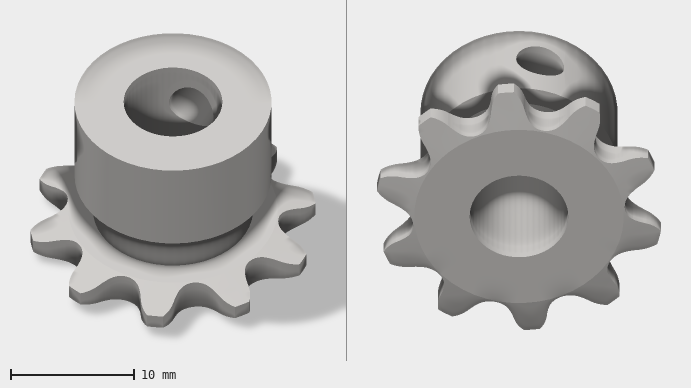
import cadquery as cq
import math

total_height = 15.0
hub_diameter = 16.0
hub_height = 8.25
neck_diameter = 13.0
bore_diameter = 8.0
set_screw_diameter = 4.0
set_screw_height = 11.0

tooth_count = 10
tip_radius = 11.68
plate_thickness = 2.8
bevel_start_radius = 8.5
rim_thickness = 1.25

pitch_radius = 10.27
seat_radius = 1.65
seat_end_slope = 23.0
working_radius = 4.35
flank_slope = 10.6
flank_length = 0.28
tip_half_width = 0.65
cutter_radius = 14.0

half_pitch = math.radians(180 / tooth_count)
bevel_height = (plate_thickness - rim_thickness) / 2


def polar(radius, angle):
    return (radius * math.cos(angle), radius * math.sin(angle))


def shifted(point, angle, distance):
    dx, dy = polar(distance, angle)
    return (point[0] + dx, point[1] + dy)


def make_blank():
    """Revolved plate, neck and hub, without teeth or holes."""
    hub_bottom = total_height - hub_height
    profile = [
        (0, 0),
        (bevel_start_radius, 0),
        (tip_radius, bevel_height),
        (tip_radius, plate_thickness - bevel_height),
        (bevel_start_radius, plate_thickness),
        (neck_diameter / 2, plate_thickness),
        (neck_diameter / 2, hub_bottom),
        (hub_diameter / 2, hub_bottom),
        (hub_diameter / 2, total_height),
        (0, total_height),
    ]
    return cq.Workplane("XZ").polyline(profile).close().revolve(360, (0, 0), (0, 1))


def make_half_gap():
    """Half of the gap beside a tooth that points along +X."""
    seat_center = polar(pitch_radius, half_pitch)
    start_angle = half_pitch + math.pi
    seat_end_angle = math.radians(270 - seat_end_slope)
    seat_middle_angle = (start_angle + seat_end_angle) / 2
    working_center = shifted(seat_center, seat_end_angle, seat_radius - working_radius)
    working_end_angle = math.radians(270 - flank_slope)
    working_end = shifted(working_center, working_end_angle, working_radius)
    flank_end = shifted(working_end, math.radians(-flank_slope), flank_length)
    tip_corner = (math.sqrt(tip_radius**2 - tip_half_width**2), tip_half_width)
    return (
        cq.Workplane("XY")
        .moveTo(*shifted(seat_center, start_angle, seat_radius))
        .threePointArc(
            shifted(seat_center, seat_middle_angle, seat_radius),
            shifted(seat_center, seat_end_angle, seat_radius),
        )
        .tangentArcPoint(working_end, relative=False)
        .lineTo(*flank_end)
        .tangentArcPoint(tip_corner, relative=False)
        .lineTo(cutter_radius, tip_half_width)
        .lineTo(*polar(cutter_radius, half_pitch))
        .close()
        .extrude(plate_thickness)
    )


def cut_teeth(body):
    half_gap = make_half_gap()
    for side in (half_gap, half_gap.mirror("XZ")):
        for tooth in range(tooth_count):
            body = body.cut(side.rotate((0, 0, 0), (0, 0, 1), tooth * 360 / tooth_count))
    return body


def cut_holes(body):
    """Through bore, and a set screw hole from the +Y side of the hub into the bore."""
    bore = cq.Workplane("XY").circle(bore_diameter / 2).extrude(total_height)
    set_screw_hole = (
        cq.Workplane("XZ")
        .center(0, set_screw_height)
        .circle(set_screw_diameter / 2)
        .extrude(-hub_diameter)
    )
    return body.cut(bore).cut(set_screw_hole)


result = cut_holes(cut_teeth(make_blank()))